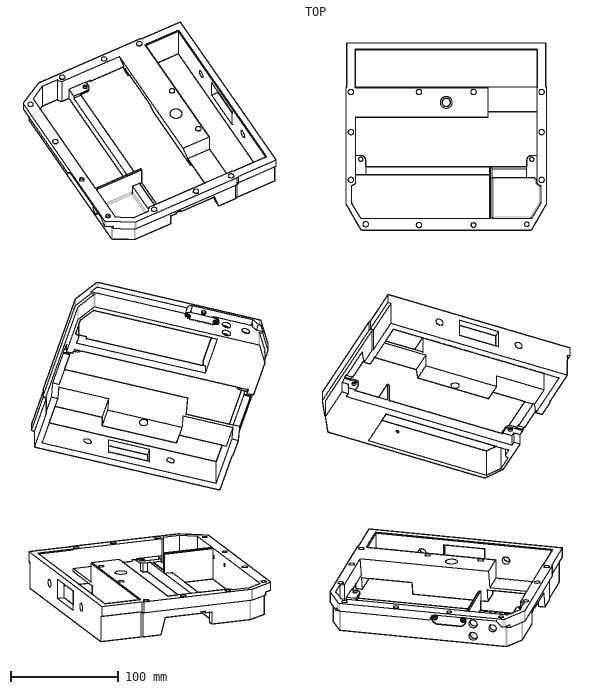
import cadquery as cq
import math

WIDTH = 187.3
DEPTH = 175.0
HEIGHT = 35.2
HALF_WIDTH = WIDTH / 2

RIM_UNDERSIDE = 24.5
FRONT_RIM_UNDERSIDE = 27.3
REAR_INSET = 0.7
REAR_INSET_START = 132.8
REAR_INSET_END = 134.5
REAR_BEVEL_DROP = 1.1
CORNER_RISE = 24.5
CORNER_ANGLE = 30.0
CORNER_RADIUS = 1.9

RIM_OVERHANG = 2.8
FRONT_FACE = 6.7
FRONT_WALL_BOTTOM = 4.7
WALL_CORNER_RADIUS = 1.1

INNER_HALF = 84.5
FLARE_HALF = 88.5
FRONT_INNER = 11.0
FLARE_START = 41.5
FLARE_END = 44.4
BOSS_RADIUS = 5.2
FLARE_CORNER = 25.5
FRONT_INNER_HALF = 79.6
BACK_INNER = 168.2
EDGE_CHAMFER = 0.7

GAP_TOP = 16.5
GAP_FRONT = 63.9
FOOT_TOE = 114.8
FOOT_ANGLE = 15.0
NOTCH_FRONT = 70.0
NOTCH_LENGTH = 4.5
NOTCH_HEIGHT = 1.4

BLOCK_BACK = 133.7
BLOCK_RIGHT = 39.0
BLOCK_FOOT_HALF = 36.2
BLOCK_UNDERSIDE = 13.3
PLATE_TOP = 16.3
BORE_Y = 119.3
BORE_DIAMETER = 7.5
COUNTERBORE_DIAMETER = 11.0
COUNTERBORE_DEPTH = 22.5

BAR_FRONT = 51.7
BAR_BACK = 59.4
BAR_TOP = 15.7
TAB_INNER = 75.1
TAB_END = 69.9
TAB_TOP = 18.7
TAB_RADIUS = 4.5
TAB_HOLE = (79.8, 66.3)
TAB_HOLE_DIAMETER = 4.0
BOX_WALL_LEFT = 40.5
BOX_WALL_THICKNESS = 2.2
BOX_BACK = 49.5
BOX_FLOOR = 6.5
BOX_FILLET = 1.3
BOX_CORNER_RADIUS = 4.0
LEDGE_FRONT = 57.0

SCREW_DIAMETER = 5.0
SMALL_SCREW_DIAMETER = 4.3
SCREW_DEPTH = 6.5
CORNER_SCREW_DEPTH = 2.5
SIDE_SCREW_X = 89.0
SIDE_SCREW_YS = (47.0, 91.6, 129.0)
MIDDLE_SCREW_X = 25.5
CORNER_SCREW_X = 75.1
CORNER_SCREW_Y = 5.6
FRONT_SCREW_Y = 4.9

RECESS_LEFT = 8.0
RECESS_RIGHT = 41.0
RECESS_BOTTOM = 20.6
RECESS_TOP = 32.8
RECESS_DEPTH = 1.1
RECESS_SCREW_INSET = 2.8
RECESS_SCREW_Z = 27.0
RECESS_SCREW_DIAMETER = 5.0
RECESS_SCREW_DEPTH = 1.1
RECESS_PILOT_DIAMETER = 2.6
RELIEF_RIGHT = 72.0
RELIEF_RUN = 5.2
FRONT_PORTS = ((48.1, 24.5, 7.9), (48.1, 12.0, 7.9), (66.9, 22.1, 7.1))

WINDOW_HALF = 19.9
WINDOW_BOTTOM = 10.5
WINDOW_TOP = 29.2
BACK_HOLE_X = 40.3
BACK_HOLE_Z = 19.5
BACK_HOLE_DIAMETER = 7.1


def box(x0, x1, y0, y1, z0, z1):
    """Box between two opposite corners."""
    return cq.Workplane("XY").box(x1 - x0, y1 - y0, z1 - z0, centered=False).translate((x0, y0, z0))


def prism(points, z0, z1):
    """Upright prism over a closed XY outline."""
    return cq.Workplane("XY").workplane(offset=z0).polyline(points).close().extrude(z1 - z0)


def side_prism(points, x0, x1):
    """Prism along X over a closed YZ outline."""
    return cq.Workplane("YZ").workplane(offset=x0).polyline(points).close().extrude(x1 - x0)


def pin(x, y, diameter, z0, z1):
    """Upright cylinder."""
    return cq.Workplane("XY").workplane(offset=z0).center(x, y).circle(diameter / 2).extrude(z1 - z0)


def pin_along_y(x, z, diameter, y0, y1):
    """Cylinder along Y."""
    return cq.Workplane("XZ", origin=(x, y0, z)).circle(diameter / 2).extrude(y0 - y1)


def mirrored(points):
    """Closed outline from its right half, listed from front to back."""
    return points + [(-x, y) for x, y in reversed(points)]


def frame_outline(half, front):
    """Outer plan of the frame with its front corners cut off and its rear stretch inset."""
    cut_slope = math.tan(math.radians(CORNER_ANGLE))
    inset = HALF_WIDTH - half
    cut_end = CORNER_RISE + inset * math.tan(math.radians(CORNER_ANGLE / 2))
    return mirrored([
        (half - (cut_end - front) * cut_slope, front),
        (half, cut_end),
        (half, REAR_INSET_START),
        (half - REAR_INSET, REAR_INSET_END),
        (half - REAR_INSET, DEPTH),
    ])


def slope_y(z):
    """Y of the sloping faces of the feet and the cross block at height z."""
    return FOOT_TOE - z * math.tan(math.radians(FOOT_ANGLE))


def round_front_corners(body, radius):
    """Round the upright edges of the front half."""
    front_half = cq.selectors.BoxSelector((-WIDTH, -DEPTH, 0), (WIDTH, DEPTH / 2, HEIGHT))
    return body.edges("|Z").edges(front_half).fillet(radius)


def make_rim():
    rim = prism(frame_outline(HALF_WIDTH, 0), RIM_UNDERSIDE, HEIGHT)
    rim = round_front_corners(rim, CORNER_RADIUS)
    rim = rim.cut(box(-HALF_WIDTH, HALF_WIDTH, 0, FRONT_FACE, RIM_UNDERSIDE, FRONT_RIM_UNDERSIDE))
    rear_half = HALF_WIDTH - REAR_INSET
    bevel = (
        cq.Workplane("XZ", origin=(0, DEPTH, 0))
        .moveTo(rear_half, RIM_UNDERSIDE)
        .lineTo(rear_half, RIM_UNDERSIDE + REAR_BEVEL_DROP)
        .lineTo(rear_half - RIM_OVERHANG, RIM_UNDERSIDE)
        .close()
        .extrude(DEPTH - REAR_INSET_END)
    )
    return rim.cut(bevel).cut(bevel.mirror("YZ"))


def make_walls():
    walls = prism(frame_outline(HALF_WIDTH - RIM_OVERHANG, FRONT_FACE), 0, HEIGHT)
    walls = round_front_corners(walls, WALL_CORNER_RADIUS)
    gap = side_prism(
        [
            (0, 0),
            (FOOT_TOE, 0),
            (slope_y(GAP_TOP), GAP_TOP),
            (NOTCH_FRONT + NOTCH_LENGTH, GAP_TOP),
            (NOTCH_FRONT + NOTCH_LENGTH, GAP_TOP + NOTCH_HEIGHT),
            (NOTCH_FRONT, GAP_TOP + NOTCH_HEIGHT),
            (NOTCH_FRONT, GAP_TOP),
            (GAP_FRONT, GAP_TOP),
            (GAP_FRONT, FRONT_WALL_BOTTOM),
            (0, FRONT_WALL_BOTTOM),
        ],
        -HALF_WIDTH,
        HALF_WIDTH,
    )
    return walls.cut(gap)


def flare_boss_point():
    """Middle of the rounded wall round the right front side screw."""
    reach = BOSS_RADIUS * math.cos(math.radians(45))
    return (SIDE_SCREW_X - reach, SIDE_SCREW_YS[0] - reach)


def inner_prism(x0, back, z0, z1):
    """Prism over the frame's inner plan, from x0 to the right wall and from the front wall to back."""
    return (
        cq.Workplane("XY")
        .workplane(offset=z0)
        .moveTo(x0, FRONT_INNER)
        .lineTo(FRONT_INNER_HALF, FRONT_INNER)
        .lineTo(FLARE_HALF, FLARE_CORNER)
        .lineTo(FLARE_HALF, FLARE_START)
        .threePointArc(flare_boss_point(), (INNER_HALF, FLARE_END))
        .lineTo(INNER_HALF, back)
        .lineTo(x0, back)
        .close()
        .extrude(z1 - z0)
    )


def make_opening():
    half = inner_prism(0, BACK_INNER, 0, HEIGHT)
    return half.union(half.mirror("YZ"))


def make_rear_bevel():
    """Bevel round the top edge of the rear opening."""
    return (
        cq.Workplane("XY")
        .workplane(offset=HEIGHT - EDGE_CHAMFER)
        .center(0, (BLOCK_BACK + BACK_INNER) / 2)
        .rect(2 * INNER_HALF, BACK_INNER - BLOCK_BACK)
        .extrude(EDGE_CHAMFER, taper=-45)
    )


def block_section(x0, x1, z0, z1):
    """Length of the cross block between two heights, with its sloping front face."""
    points = [(BLOCK_BACK, z0), (slope_y(z0), z0), (slope_y(z1), z1), (BLOCK_BACK, z1)]
    return side_prism(points, x0, x1)


def make_cross_block():
    block = block_section(-INNER_HALF, BLOCK_RIGHT, BLOCK_UNDERSIDE, HEIGHT)
    block = block.union(block_section(-BLOCK_FOOT_HALF, BLOCK_FOOT_HALF, 0, BLOCK_UNDERSIDE))
    block = block.union(block_section(BLOCK_RIGHT, INNER_HALF, BLOCK_UNDERSIDE, PLATE_TOP))
    block = block.cut(pin(0, BORE_Y, BORE_DIAMETER, 0, HEIGHT))
    return block.cut(pin(0, BORE_Y, COUNTERBORE_DIAMETER, HEIGHT - COUNTERBORE_DEPTH, HEIGHT))


def make_bars():
    """Bar left of the compartment and the narrow strip that continues it along the ledge."""
    left_bar = box(-INNER_HALF, BOX_WALL_LEFT, BAR_FRONT, BAR_BACK, FRONT_WALL_BOTTOM, BAR_TOP)
    strip = box(BOX_WALL_LEFT, INNER_HALF, LEDGE_FRONT, BAR_BACK, FRONT_WALL_BOTTOM, BAR_TOP)
    return left_bar.union(strip)


def make_tab(front):
    """Right screw tab with the post that carries it."""
    tab = box(TAB_INNER, INNER_HALF, front, TAB_END, GAP_TOP, TAB_TOP)
    tab = tab.edges("|Z and <X and >Y").fillet(TAB_RADIUS)
    tab = tab.union(box(TAB_INNER, INNER_HALF, front, BAR_BACK, FRONT_WALL_BOTTOM, TAB_TOP))
    return tab.cut(pin(*TAB_HOLE, TAB_HOLE_DIAMETER, GAP_TOP, TAB_TOP))


def make_compartment():
    inner_left = BOX_WALL_LEFT + BOX_WALL_THICKNESS
    left_wall = box(BOX_WALL_LEFT, inner_left, FRONT_INNER, BAR_BACK, FRONT_WALL_BOTTOM, HEIGHT)
    left_wall = left_wall.edges("<X and >Z").chamfer(EDGE_CHAMFER)
    ledge = box(inner_left, INNER_HALF, BOX_BACK, LEDGE_FRONT, FRONT_WALL_BOTTOM, GAP_TOP)
    floor = inner_prism(inner_left, BOX_BACK, FRONT_WALL_BOTTOM, BOX_FLOOR + BOX_FILLET)
    corner_left = INNER_HALF - BOX_CORNER_RADIUS
    corner_front = BOX_BACK - BOX_CORNER_RADIUS
    corner = box(corner_left, INNER_HALF, corner_front, BOX_BACK, BOX_FLOOR, TAB_TOP)
    hollow = inner_prism(inner_left, BOX_BACK, BOX_FLOOR, HEIGHT)
    hollow = hollow.edges("|Z and >Y").edges(">X").fillet(BOX_CORNER_RADIUS)
    hollow = hollow.faces("<Z").edges().fillet(BOX_FILLET)
    return left_wall.union(ledge).union(floor.union(corner).cut(hollow))


def cut_screw_holes(part):
    spots = [(side * SIDE_SCREW_X, y) for side in (-1, 1) for y in SIDE_SCREW_YS]
    spots += [(side * MIDDLE_SCREW_X, SIDE_SCREW_YS[-1]) for side in (-1, 1)]
    spots += [(-MIDDLE_SCREW_X, FRONT_SCREW_Y), (-CORNER_SCREW_X, CORNER_SCREW_Y)]
    for x, y in spots:
        part = part.cut(pin(x, y, SCREW_DIAMETER, HEIGHT - SCREW_DEPTH, HEIGHT))
    part = part.cut(pin(MIDDLE_SCREW_X, FRONT_SCREW_Y, SMALL_SCREW_DIAMETER, HEIGHT - SCREW_DEPTH, HEIGHT))
    corner_bottom = HEIGHT - CORNER_SCREW_DEPTH
    return part.cut(pin(CORNER_SCREW_X, CORNER_SCREW_Y, SMALL_SCREW_DIAMETER, corner_bottom, HEIGHT))


def cut_front_details(part):
    relief = (
        cq.Workplane("XZ", origin=(0, FRONT_FACE, 0))
        .moveTo(RECESS_LEFT, FRONT_RIM_UNDERSIDE)
        .lineTo(RECESS_LEFT + RELIEF_RUN, RECESS_TOP)
        .lineTo(RELIEF_RIGHT, RECESS_TOP)
        .lineTo(RELIEF_RIGHT + RELIEF_RUN, FRONT_RIM_UNDERSIDE)
        .close()
        .extrude(FRONT_FACE)
    )
    recess_height = RECESS_TOP - RECESS_BOTTOM
    recess_middle = (RECESS_LEFT + RECESS_RIGHT) / 2
    recess = (
        cq.Workplane("XZ", origin=(recess_middle, 0, RECESS_BOTTOM + recess_height / 2))
        .slot2D(RECESS_RIGHT - RECESS_LEFT, recess_height)
        .extrude(-FRONT_FACE - RECESS_DEPTH)
    )
    part = part.cut(relief).cut(recess)
    recess_floor = FRONT_FACE + RECESS_DEPTH
    screw_floor = recess_floor + RECESS_SCREW_DEPTH
    for x in (RECESS_LEFT + RECESS_SCREW_INSET, RECESS_RIGHT - RECESS_SCREW_INSET):
        part = part.cut(pin_along_y(x, RECESS_SCREW_Z, RECESS_SCREW_DIAMETER, recess_floor, screw_floor))
        part = part.cut(pin_along_y(x, RECESS_SCREW_Z, RECESS_PILOT_DIAMETER, recess_floor, FRONT_INNER))
    for x, z, diameter in FRONT_PORTS:
        part = part.cut(pin_along_y(x, z, diameter, 0, FRONT_INNER + BOX_FILLET))
    return part


def cut_back_details(part):
    part = part.cut(box(-WINDOW_HALF, WINDOW_HALF, BACK_INNER, DEPTH, WINDOW_BOTTOM, WINDOW_TOP))
    for side in (-1, 1):
        hole = pin_along_y(side * BACK_HOLE_X, BACK_HOLE_Z, BACK_HOLE_DIAMETER, BACK_INNER, DEPTH)
        part = part.cut(hole)
    return part


frame = make_rim().union(make_walls()).cut(make_opening())
frame = frame.union(make_cross_block()).cut(make_rear_bevel())
frame = frame.union(make_bars()).union(make_compartment())
frame = frame.union(make_tab(BOX_BACK)).union(make_tab(BAR_FRONT).mirror("YZ"))
frame = cut_screw_holes(frame)
frame = cut_front_details(frame)
result = cut_back_details(frame)